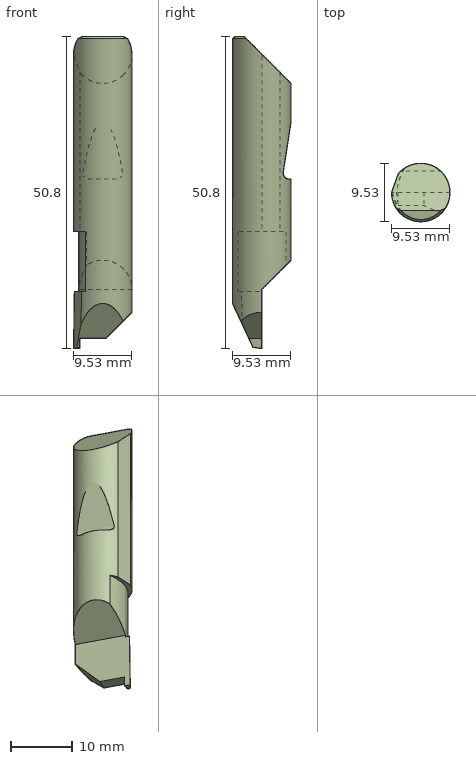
import cadquery as cq
import math

LENGTH = 50.8
DIAMETER = 9.525
RADIUS = DIAMETER / 2
TOP_CHAMFER = 0.38
OVERSIZE = 4 * DIAMETER

END_SLOPE_ANGLE = 45.0
END_SLOPE_START = 43.15

SCOOP_LOW_Z = 27.6
SCOOP_HIGH_Z = 36.8
SCOOP_DEPTH = 1.42
SCOOP_RADIUS = 0.95

FLAT_END_Y = 3.0

NOTCH_LOW_Z = 9.33
NOTCH_HIGH_Z = 19.05
NOTCH_CROWN_X = -3.92
NOTCH_FRONT_RADIUS = 7.2
NOTCH_BACK_RADIUS = 8.9
NOTCH_BACK_TILT = 4.5

RAKE_RUNOUT_Z = 9.62
RUNOUT_ANGLE = 45.0
HEEL_HIGH_Z = 7.35
HEEL_ANGLE = 65.0
BODY_END_Z = 1.68
NIB_WIDTH = 1.03
CORNER_CUT_HIGH_Z = 5.92
CORNER_CUT_ANGLE = 45.0
SIDE_RELIEF_ANGLE = 20.0
BACK_TAPER_ANGLE = 0.8
TIP_RELIEF_ANGLE = 8.0
NIB_CORNER_RADIUS = 0.12


def slope(angle):
    return math.tan(math.radians(angle))


def prism_along_x(points):
    """Prism through the full width, from an outline of (Y, Z) points."""
    return cq.Workplane("YZ").polyline(points).close().extrude(OVERSIZE, both=True)


def prism_along_y(points):
    """Prism through the full depth, from an outline of (X, Z) points."""
    return cq.Workplane("XZ").polyline(points).close().extrude(OVERSIZE, both=True)


def shank():
    rod = cq.Workplane("XY").circle(RADIUS).extrude(LENGTH)
    return rod.faces(">Z").chamfer(TOP_CHAMFER)


def end_slope_cut():
    rise = OVERSIZE * slope(END_SLOPE_ANGLE)
    return prism_along_x([
        (RADIUS + OVERSIZE, END_SLOPE_START - rise),
        (RADIUS - OVERSIZE, END_SLOPE_START + rise),
        (RADIUS + OVERSIZE, END_SLOPE_START + rise),
    ])


def scoop_cut():
    floor_y = RADIUS - SCOOP_DEPTH
    scoop = prism_along_x([
        (RADIUS, SCOOP_HIGH_Z),
        (floor_y, SCOOP_LOW_Z),
        (RADIUS, SCOOP_LOW_Z),
    ])
    return scoop.edges("|X and <Y").fillet(SCOOP_RADIUS)


def side_flat_cut():
    flat_end_x = -math.sqrt(RADIUS**2 - FLAT_END_Y**2)
    return (
        cq.Workplane("XY", origin=(0, 0, NOTCH_LOW_Z))
        .polyline([(-RADIUS, 0), (flat_end_x, FLAT_END_Y), (-RADIUS, FLAT_END_Y)])
        .close()
        .extrude(LENGTH)
    )


def half_notch(side, floor_radius, tilt):
    """Notch on one side of Y = 0 (side is +1 or -1), floored by an arc through the crown."""
    height = NOTCH_HIGH_Z - NOTCH_LOW_Z
    base = cq.Workplane("XY", origin=(0, 0, NOTCH_LOW_Z))
    block = base.center(-RADIUS, side * RADIUS).rect(DIAMETER, DIAMETER).extrude(height)
    center_x = NOTCH_CROWN_X + floor_radius * math.cos(math.radians(tilt))
    center_y = -side * floor_radius * math.sin(math.radians(tilt))
    core = (
        cq.Workplane("XY", origin=(center_x, center_y, NOTCH_LOW_Z))
        .circle(floor_radius)
        .extrude(height)
    )
    return block.cut(core)


def side_notch_cut():
    front_half = half_notch(-1, NOTCH_FRONT_RADIUS, 0)
    back_half = half_notch(1, NOTCH_BACK_RADIUS, NOTCH_BACK_TILT)
    return front_half.union(back_half)


def rake_face_cut():
    return prism_along_x([
        (0, -OVERSIZE),
        (0, RAKE_RUNOUT_Z),
        (OVERSIZE, RAKE_RUNOUT_Z + OVERSIZE * slope(RUNOUT_ANGLE)),
        (OVERSIZE, -OVERSIZE),
    ])


def heel_cut():
    rise = OVERSIZE * slope(HEEL_ANGLE)
    return prism_along_x([
        (-RADIUS - OVERSIZE, HEEL_HIGH_Z + rise),
        (-RADIUS + OVERSIZE, HEEL_HIGH_Z - rise),
        (-RADIUS - OVERSIZE, HEEL_HIGH_Z - rise),
    ])


def corner_cut():
    rise = OVERSIZE * slope(CORNER_CUT_ANGLE)
    return prism_along_y([
        (RADIUS + OVERSIZE, CORNER_CUT_HIGH_Z + rise),
        (RADIUS - OVERSIZE, CORNER_CUT_HIGH_Z - rise),
        (RADIUS + OVERSIZE, CORNER_CUT_HIGH_Z - rise),
    ])


def body_end_cut():
    """Shortens everything beside the nib."""
    nib_inner_x = -RADIUS + NIB_WIDTH
    return prism_along_y([
        (nib_inner_x, BODY_END_Z),
        (OVERSIZE, BODY_END_Z),
        (OVERSIZE, -OVERSIZE),
        (nib_inner_x, -OVERSIZE),
    ])


def tip_relief_cut():
    return prism_along_x([
        (0, 0),
        (-OVERSIZE, OVERSIZE * slope(TIP_RELIEF_ANGLE)),
        (-OVERSIZE, -OVERSIZE),
        (0, -OVERSIZE),
    ])


def side_relief_cut():
    """Material outside the relief plane, which holds the tapered cutting edge at Y = 0."""
    relief = math.radians(SIDE_RELIEF_ANGLE)
    edge_direction = cq.Vector(slope(BACK_TAPER_ANGLE), 0, 1)
    relief_direction = cq.Vector(math.sin(relief), -math.cos(relief), 0)
    outward = relief_direction.cross(edge_direction)
    plane = cq.Plane(origin=(-RADIUS, 0, 0), xDir=relief_direction, normal=outward)
    outside = cq.Workplane(plane).rect(OVERSIZE, OVERSIZE).extrude(OVERSIZE)
    below_notch = cq.Workplane("XY", origin=(0, 0, NOTCH_LOW_Z)).rect(2 * OVERSIZE, 2 * OVERSIZE)
    return outside.intersect(below_notch.extrude(-OVERSIZE))


def round_nib_corners(body):
    """Rounds the two lower edges of the nib that run back from the rake face."""
    tip_rise = RADIUS * slope(TIP_RELIEF_ANGLE)
    below_tip = cq.selectors.BoxSelector(
        (-DIAMETER, -RADIUS, -tip_rise),
        (0, -NIB_CORNER_RADIUS, tip_rise),
    )
    tip_face = body.faces(below_tip).faces("<Z")
    return body.newObject(tip_face.edges("not(<Y or >Y)").vals()).fillet(NIB_CORNER_RADIUS)


result = shank()
for cutter in (
    end_slope_cut(),
    scoop_cut(),
    side_flat_cut(),
    side_notch_cut(),
    rake_face_cut(),
    heel_cut(),
    corner_cut(),
    body_end_cut(),
    side_relief_cut(),
    tip_relief_cut(),
):
    result = result.cut(cutter)
result = round_nib_corners(result)